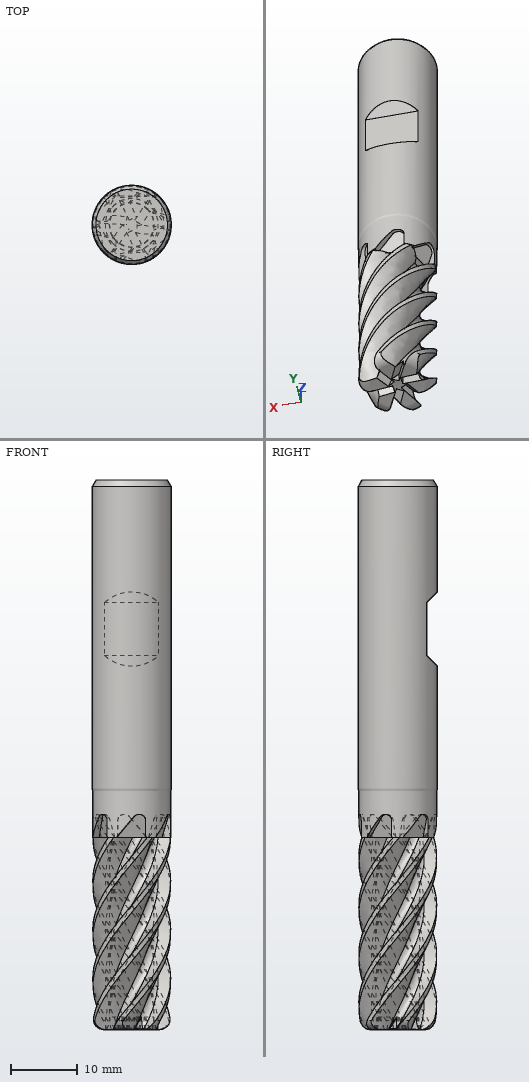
import cadquery as cq
import math

overall_length = 83.0
shank_radius = 6.0
shank_bottom = 36.4
end_chamfer_height = 1.0
end_chamfer_width = 0.6

flat_depth = 1.6
flat_floor_length = 8.0
flat_center_from_end = 22.5

neck_radius = 5.9
neck_step_height = 0.4
cutter_length = 29.0

flute_count = 6
helix_angle = 40.0
cutter_radius = neck_radius
corner_radius = 1.8
edge_angle_at_neck = 173.0
land_angle = 9.0
land_drop = 0.05
back_mid_radius = 4.85
back_mid_angle = 22.0
gullet_start_radius = 3.4
gullet_start_angle = 39.0
gullet_mid_radius = 3.4
gullet_mid_angle = 51.0
rake_root_radius = 4.0

runout_wall_angle = 171.0
runout_tilt = 18.0
runout_height = 3.5
runout_bottom_width = 4.4
runout_top_width = 1.5
runout_top_radius = 0.9
runout_floor_bottom_radius = 4.2
runout_floor_top_radius = 5.4

dish_depth = 0.25
gash_depth = 1.9
gash_inner_radius = 0.8
gash_lean = 1.3

flute_pitch_angle = 360 / flute_count
lead = 2 * math.pi * cutter_radius / math.tan(math.radians(helix_angle))
twist_angle = 360 * cutter_length / lead
edge_angle_at_tip = edge_angle_at_neck - twist_angle


def polar(radius, angle):
    """Point in the XY plane at a radius and an angle in degrees."""
    return (radius * math.cos(math.radians(angle)), radius * math.sin(math.radians(angle)))


def around_axis(shape):
    """Copies of a shape, one for each flute."""
    return [shape.rotate((0, 0, 0), (0, 0, 1), i * flute_pitch_angle) for i in range(flute_count)]


def make_runout():
    """Pocket that carries a flute out of the neck, with its floor facing +X."""
    wall_y = neck_radius * math.sin(math.radians(runout_tilt))
    outline = (
        cq.Workplane("YZ")
        .moveTo(wall_y - runout_bottom_width, cutter_length)
        .lineTo(wall_y, cutter_length)
        .lineTo(wall_y, cutter_length + runout_height)
        .lineTo(wall_y - runout_top_width, cutter_length + runout_height)
        .close()
        .extrude(2 * neck_radius)
        .edges("|X and >Z")
        .fillet(runout_top_radius)
    )
    side = (
        cq.Workplane("XZ")
        .moveTo(runout_floor_bottom_radius, cutter_length)
        .lineTo(2 * neck_radius, cutter_length)
        .lineTo(2 * neck_radius, cutter_length + runout_height)
        .lineTo(runout_floor_top_radius, cutter_length + runout_height)
        .close()
        .extrude(neck_radius, both=True)
    )
    return outline.intersect(side)


def make_shank():
    """Shank and neck, with the clamping flat and the flute runouts."""
    body = (
        cq.Workplane("XZ")
        .moveTo(0, cutter_length)
        .lineTo(neck_radius, cutter_length)
        .lineTo(neck_radius, shank_bottom - neck_step_height)
        .lineTo(shank_radius, shank_bottom)
        .lineTo(shank_radius, overall_length - end_chamfer_height)
        .lineTo(shank_radius - end_chamfer_width, overall_length)
        .lineTo(0, overall_length)
        .close()
        .revolve(360, (0, 0, 0), (0, 1, 0))
    )
    flat_center = overall_length - flat_center_from_end
    floor_y = shank_radius - flat_depth
    half_floor = flat_floor_length / 2
    half_mouth = half_floor + flat_depth
    flat_cut = (
        cq.Workplane("YZ")
        .moveTo(floor_y, flat_center - half_floor)
        .lineTo(floor_y, flat_center + half_floor)
        .lineTo(shank_radius, flat_center + half_mouth)
        .lineTo(shank_radius, flat_center - half_mouth)
        .close()
        .extrude(shank_radius, both=True)
    )
    body = body.cut(flat_cut)
    runout = make_runout().rotate((0, 0, 0), (0, 0, 1), runout_wall_angle - runout_tilt)
    for copy in around_axis(runout):
        body = body.cut(copy)
    return body


def make_fluted_bar():
    """Twisted bar whose section has one tooth and one gullet per flute."""
    section = cq.Workplane("XY").moveTo(*polar(cutter_radius, edge_angle_at_tip))
    for i in range(flute_count):
        edge = edge_angle_at_tip + i * flute_pitch_angle
        section = (
            section
            .lineTo(*polar(cutter_radius - land_drop, edge + land_angle))
            .threePointArc(
                polar(back_mid_radius, edge + back_mid_angle),
                polar(gullet_start_radius, edge + gullet_start_angle),
            )
            .threePointArc(
                polar(gullet_mid_radius, edge + gullet_mid_angle),
                polar(rake_root_radius, edge + flute_pitch_angle),
            )
            .lineTo(*polar(cutter_radius, edge + flute_pitch_angle))
        )
    return section.close().twistExtrude(cutter_length, twist_angle)


def make_gash():
    """Slanted notch in the end face ahead of a cutting edge facing +X."""
    return (
        cq.Workplane("YZ")
        .workplane(offset=gash_inner_radius)
        .moveTo(0, 0)
        .lineTo(0, gash_depth)
        .lineTo(-gash_lean, 0)
        .close()
        .extrude(cutter_radius)
    )


def make_cutter():
    """Fluted cutting part with a rounded corner and gashed end teeth."""
    corner_start = cutter_radius - corner_radius
    corner_mid = polar(corner_radius, -45)
    envelope = (
        cq.Workplane("XZ")
        .moveTo(0, dish_depth)
        .lineTo(corner_start, 0)
        .threePointArc(
            (corner_start + corner_mid[0], corner_radius + corner_mid[1]),
            (cutter_radius, corner_radius),
        )
        .lineTo(cutter_radius, cutter_length)
        .lineTo(0, cutter_length)
        .close()
        .revolve(360, (0, 0, 0), (0, 1, 0))
    )
    body = make_fluted_bar().intersect(envelope)
    gash = make_gash().rotate((0, 0, 0), (0, 0, 1), edge_angle_at_tip)
    for copy in around_axis(gash):
        body = body.cut(copy)
    return body


shank = make_shank()
cutter = make_cutter()
result = cq.Compound.makeCompound([shank.val(), cutter.val()])